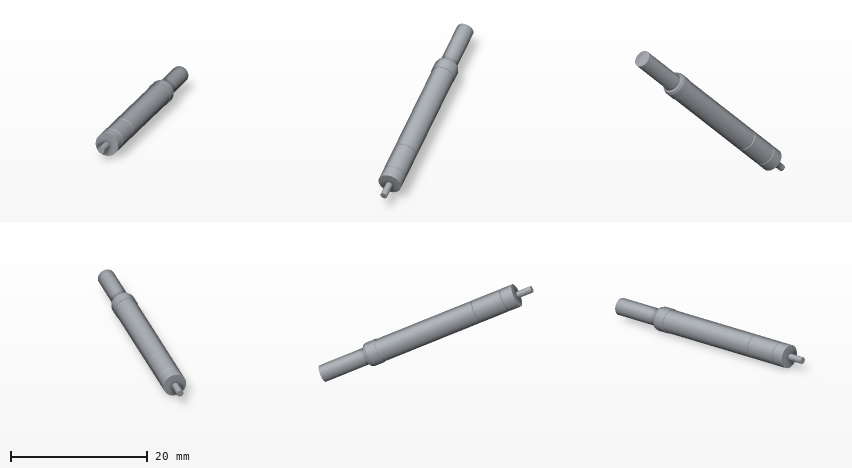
import cadquery as cq

total_length = 34.5

pin_diameter = 1.0
pin_root_diameter = 0.7
body_diameter = 3.5
collar_diameter = 3.65
collar_end_diameter = 3.3
stem_diameter = 2.6

pin_taper_start = 2.3
body_start = 2.52
front_groove_start = 4.3
rear_groove_start = 8.97
collar_start = 25.0
collar_taper_start = 26.55
collar_end = 27.0

front_groove_width = 0.3
rear_groove_width = 0.25
groove_depth = 0.1


def cylinder(diameter, start, end):
    """Solid cylinder on the Y axis between two distances from the pin tip."""
    plane = cq.Workplane("XZ", origin=(0, start - total_length / 2, 0))
    return plane.circle(diameter / 2).extrude(start - end)


def tapered_cylinder(diameter, end_diameter, start, taper_start, end):
    """Cylinder whose +Y end narrows as a cone to the end diameter."""
    taper_length = end - taper_start
    taper_depth = (diameter - end_diameter) / 2
    return cylinder(diameter, start, end).faces(">Y").chamfer(taper_length, taper_depth)


def cut_groove(body, start, width):
    """Cut a V-shaped groove around the main body."""
    rim = body_diameter / 2
    front = start - total_length / 2
    profile = [
        (rim, front),
        (rim - groove_depth, front + width / 2),
        (rim, front + width),
    ]
    ring = cq.Workplane("XY").polyline(profile).close().revolve(360, (0, 0), (0, 1))
    return body.cut(ring)


pin = tapered_cylinder(pin_diameter, pin_root_diameter, 0, pin_taper_start, body_start)

body = cylinder(body_diameter, body_start, collar_start)
body = cut_groove(body, front_groove_start, front_groove_width)
body = cut_groove(body, rear_groove_start, rear_groove_width)

collar = tapered_cylinder(
    collar_diameter, collar_end_diameter, collar_start, collar_taper_start, collar_end
)

stem = cylinder(stem_diameter, collar_end, total_length)

result = pin.union(body).union(collar).union(stem)